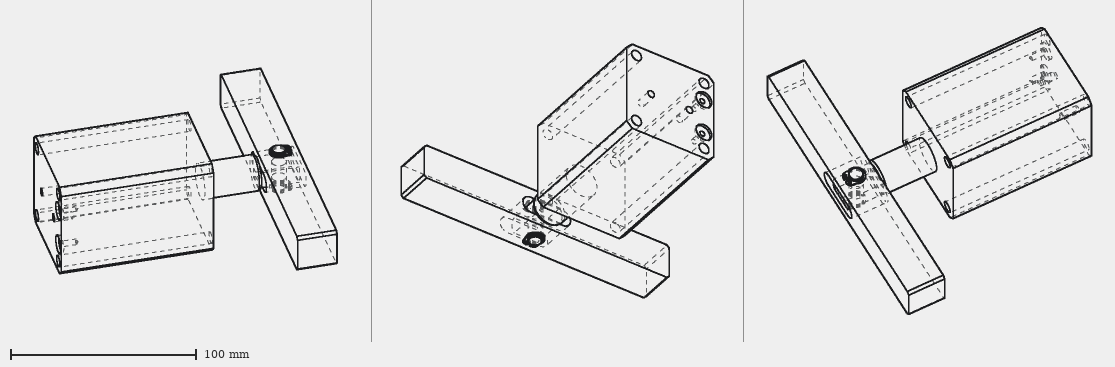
import cadquery as cq
import math


housing_width = 57.0
housing_length = 85.0
corner_round_diameter = 75.5
mount_hole_diameter = 6.4
mount_hole_spacing = 44.0
tapped_hole_diameter = 4.2
tapped_hole_spacing = 25.0
tapped_hole_depth = 10.0
port_diameter = 3.0
port_depth = 10.0
port_spacing = mount_hole_spacing / 2
port_x = mount_hole_spacing / 2
seal_recess_diameter = 10.0
seal_recess_depth = 1.6
drill_point_angle = 118

arm_length = 160.0
arm_chamfer = 1.6
overall_length = 140.0
rod_reach = 33.0
arm_front_y = housing_length + rod_reach
arm_thickness = overall_length - arm_front_y
arm_height = arm_thickness
slot_length = 31.0
slot_height = 10.0

rod_diameter = 20.0
rod_bevel_length = 1.5
rod_bevel_angle = 30
tongue_thickness = slot_height
shoulder_gap = 1.0
shoulder_y = arm_front_y - shoulder_gap
tongue_radius = rod_diameter / 2 - rod_bevel_length * math.tan(math.radians(rod_bevel_angle))

pin_y = arm_front_y + arm_thickness / 2
pin_diameter = 8.0
pin_length = 26.4
pin_chamfer = 0.3
pin_groove_diameter = 7.7

clip_thickness = 0.8
clip_bottoms = (arm_height / 2, -arm_height / 2 - clip_thickness)
clip_radius = 5.1
clip_gap = 1.6
lug_hole_diameter = 1.5
lug_hole_x = 2.4
lug_hole_y = 5.1
lug_inner_y = 3.2
lug_outline = [(4.5, 2.2), (4.5, 4.3), (4.0, 6.0), (3.4, 6.4), (2.0, 6.9), (clip_gap / 2, 6.9)]


def cylinder_along_y(diameter, start_y, end_y, x=0.0, z=0.0):
    """Cylinder with its axis along Y, from start_y to end_y."""
    start = cq.Vector(x, start_y, z)
    solid = cq.Solid.makeCylinder(diameter / 2, end_y - start_y, start, cq.Vector(0, 1, 0))
    return cq.Workplane(solid)


def disc_along_z(diameter, bottom_z, top_z):
    """Cylinder on the pivot axis, from bottom_z to top_z."""
    solid = cq.Solid.makeCylinder(diameter / 2, top_z - bottom_z, cq.Vector(0, pin_y, bottom_z))
    return cq.Workplane(solid)


def drilled_hole(diameter, depth, x, z):
    """Blind hole from the mounting face, ending in a conical drill point."""
    radius = diameter / 2
    point_height = radius / math.tan(math.radians(drill_point_angle / 2))
    point = cq.Solid.makeCone(radius, 0, point_height, cq.Vector(x, depth, z), cq.Vector(0, 1, 0))
    return cylinder_along_y(diameter, 0, depth, x, z).union(cq.Workplane(point))


def make_housing():
    block = cq.Workplane("XY").box(housing_width, housing_length, housing_width)
    block = block.translate((0, housing_length / 2, 0))
    body = block.intersect(cylinder_along_y(corner_round_diameter, 0, housing_length))

    for x in (-mount_hole_spacing / 2, mount_hole_spacing / 2):
        for z in (-mount_hole_spacing / 2, mount_hole_spacing / 2):
            body = body.cut(cylinder_along_y(mount_hole_diameter, 0, housing_length, x, z))

    for x in (-tapped_hole_spacing / 2, tapped_hole_spacing / 2):
        body = body.cut(drilled_hole(tapped_hole_diameter, tapped_hole_depth, x, 0))

    for z in (-port_spacing / 2, port_spacing / 2):
        body = body.cut(cylinder_along_y(seal_recess_diameter, 0, seal_recess_depth, port_x, z))
        body = body.cut(drilled_hole(port_diameter, port_depth, port_x, z))
    return body


def make_rod():
    rod_end = cylinder_along_y(rod_diameter, housing_length, shoulder_y)
    shaft = rod_end.faces(">Y").chamfer(rod_bevel_length, rod_diameter / 2 - tongue_radius)

    tongue_end_y = pin_y + tongue_radius
    tongue_length = tongue_end_y - shoulder_y
    flats = cq.Workplane("XY").box(rod_diameter, tongue_length, tongue_thickness)
    flats = flats.translate((0, shoulder_y + tongue_length / 2, 0))
    tongue = cylinder_along_y(2 * tongue_radius, shoulder_y, tongue_end_y).intersect(flats)

    pivot_hole = disc_along_z(pin_diameter, -arm_height, arm_height)
    return shaft.union(tongue).cut(pivot_hole)


def make_arm():
    bar = cq.Workplane("XY").box(arm_length, arm_thickness, arm_height).edges("|Y").chamfer(arm_chamfer)
    slot = cq.Workplane("XZ").slot2D(slot_length, slot_height).extrude(arm_thickness, both=True)
    bar = bar.cut(slot).translate((0, pin_y, 0))
    pivot_hole = disc_along_z(pin_diameter, -arm_height, arm_height)
    return bar.cut(pivot_hole)


def make_pin():
    pin = disc_along_z(pin_diameter, -pin_length / 2, pin_length / 2)
    pin = pin.faces("<Z or >Z").chamfer(pin_chamfer)

    for bottom_z in clip_bottoms:
        top_z = bottom_z + clip_thickness
        groove_floor = disc_along_z(pin_groove_diameter, bottom_z, top_z)
        groove = disc_along_z(pin_diameter, bottom_z, top_z).cut(groove_floor)
        pin = pin.cut(groove)
    return pin


def make_clip(bottom_z):
    """Open retaining ring with two eyed lugs on its +Y side."""
    ring = cq.Workplane("XY").circle(clip_radius).extrude(clip_thickness)
    gap = cq.Workplane("XY").rect(clip_gap, 2 * clip_radius).extrude(clip_thickness)
    ring = ring.cut(gap.translate((0, clip_radius, 0)))

    for side in (-1, 1):
        outline = [(side * x, y) for x, y in lug_outline]
        outline.append((side * clip_gap / 2, lug_inner_y))
        lug = cq.Workplane("XY").polyline(outline).close().extrude(clip_thickness)
        eye = cq.Workplane("XY").center(side * lug_hole_x, lug_hole_y).circle(lug_hole_diameter / 2)
        ring = ring.union(lug).cut(eye.extrude(clip_thickness))

    bore = cq.Workplane("XY").circle(pin_groove_diameter / 2).extrude(clip_thickness)
    return ring.cut(bore).translate((0, pin_y, bottom_z))


housing = make_housing().solids()
rod = make_rod().solids()
arm = make_arm().solids()
pin = make_pin().solids()
clips = [make_clip(bottom_z).solids() for bottom_z in clip_bottoms]

result = cq.Compound.makeCompound(
    [housing.val(), rod.val(), arm.val(), pin.val(), *[clip.val() for clip in clips]]
)